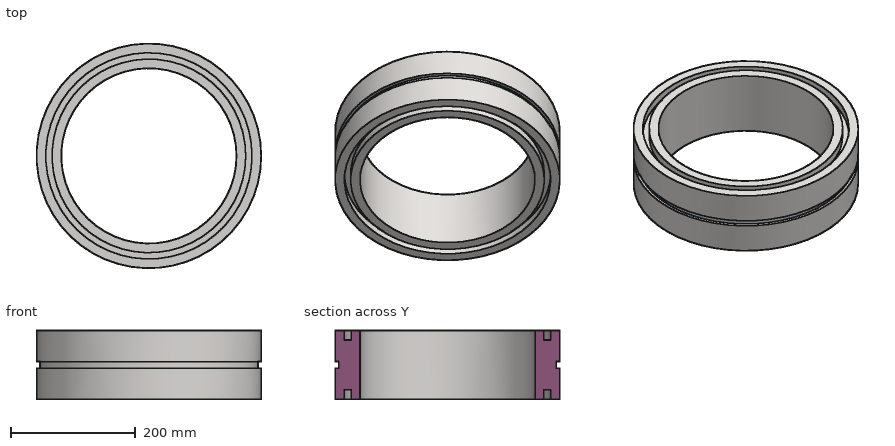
import cadquery as cq

outer_diameter = 360.0
bore_diameter = 280.0
height = 110.0

wall_groove_diameter = 350.0
wall_groove_width = 10.0

recess_outer_diameter = 330.0
recess_inner_diameter = 310.0
recess_depth = 15.0


def ring(outside, inside, length, bottom):
    """Ring on the Z axis, rising by length from the bottom level."""
    return (
        cq.Workplane("XY")
        .workplane(offset=bottom)
        .circle(outside / 2)
        .circle(inside / 2)
        .extrude(length)
    )


body = ring(outer_diameter, bore_diameter, height, -height / 2)

wall_groove = ring(outer_diameter, wall_groove_diameter, wall_groove_width, -wall_groove_width / 2)
result = body.cut(wall_groove)

for recess_bottom in (-height / 2, height / 2 - recess_depth):
    recess = ring(recess_outer_diameter, recess_inner_diameter, recess_depth, recess_bottom)
    result = result.cut(recess)